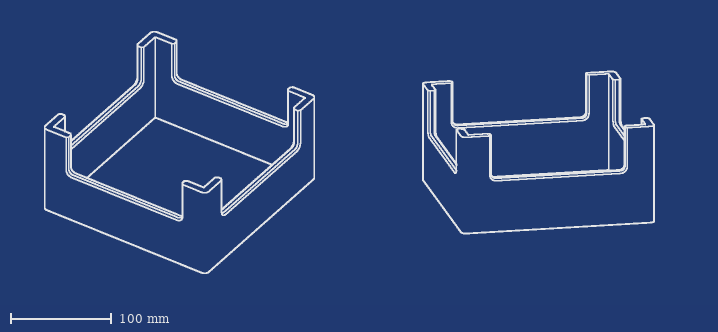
import cadquery as cq

outer_side = 196.0
wall = 8.0
height = 100.0
outer_corner_radius = 5.0

post_width = 30.0
sill_height = 55.0
opening_corner_radius = 5.0
rim_chamfer = 2.0

inner_side = outer_side - 2 * wall
opening_width = outer_side - 2 * post_width
opening_depth = height - sill_height


def square_frame():
    """Open square tube with rounded outside corners and sharp inside corners."""
    outside = cq.Workplane("XY").rect(outer_side, outer_side).extrude(height)
    outside = outside.edges("|Z").fillet(outer_corner_radius)
    inside = cq.Workplane("XY").rect(inner_side, inner_side).extrude(height)
    return outside.cut(inside)


def opening_cutter(length_x, length_y, axis):
    """Block running along one axis through two facing walls, with rounded bottom corners."""
    block = cq.Workplane("XY", origin=(0, 0, sill_height)).box(
        length_x, length_y, opening_depth, centered=(True, True, False)
    )
    return block.edges(f"|{axis} and <Z").fillet(opening_corner_radius)


def chamfer_opening_rims(body):
    """Chamfer both rims of every opening; each chamfer follows the tangent corners up the posts."""
    beyond_walls = outer_side / 2 + wall
    sill_zone = cq.selectors.BoxSelector(
        (-beyond_walls, -beyond_walls, sill_height - rim_chamfer),
        (beyond_walls, beyond_walls, sill_height + rim_chamfer),
    )
    long_sill_edges = body.edges(sill_zone).edges("|X or |Y").edges(cq.selectors.LengthNthSelector(-1))
    return long_sill_edges.chamfer(rim_chamfer)


frame = square_frame()
frame = frame.cut(opening_cutter(outer_side, opening_width, "X"))
frame = frame.cut(opening_cutter(opening_width, outer_side, "Y"))
result = chamfer_opening_rims(frame)